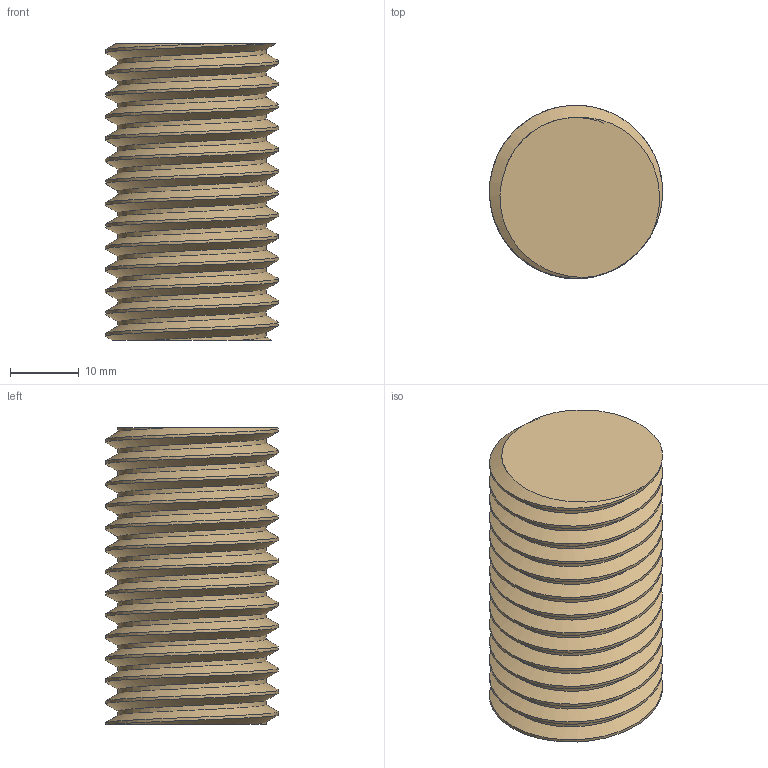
import cadquery as cq
import math

MAJOR_DIAMETER = 25.21
MINOR_DIAMETER = 21.62
LENGTH = 43.18
PITCH = 25.4 / 8
FLANK_ANGLE = 30
CREST_WIDTH = 0.42
CREST_HEIGHT = 0.75 * PITCH

RIDGE_OVERLAP = 0.2
END_OVERRUN = 2 * PITCH

MAJOR_RADIUS = MAJOR_DIAMETER / 2
MINOR_RADIUS = MINOR_DIAMETER / 2


def make_core():
    """Round bar at the thread root, running past both ends of the part."""
    return (
        cq.Workplane("XY")
        .workplane(offset=-2 * END_OVERRUN)
        .circle(MINOR_RADIUS)
        .extrude(LENGTH + 4 * END_OVERRUN)
    )


def make_ridge():
    """Right-hand thread ridge: a trapezoid swept along a helix past both ends."""
    base_radius = MINOR_RADIUS - RIDGE_OVERLAP
    half_crest = CREST_WIDTH / 2
    flank_width = (MAJOR_RADIUS - base_radius) * math.tan(math.radians(FLANK_ANGLE))
    half_base = half_crest + flank_width

    profile = (
        cq.Workplane("XZ")
        .polyline([
            (base_radius, -half_base),
            (MAJOR_RADIUS, -half_crest),
            (MAJOR_RADIUS, half_crest),
            (base_radius, half_base),
        ])
        .close()
    )
    helix = cq.Wire.makeHelix(PITCH, LENGTH + 2 * END_OVERRUN, MINOR_RADIUS)
    ridge = profile.sweep(cq.Workplane(obj=helix), isFrenet=True)
    return ridge.translate((0, 0, CREST_HEIGHT - END_OVERRUN))


def make_length_slab():
    """Block between the two flat end faces, wider than the thread."""
    width = 2 * MAJOR_DIAMETER
    return cq.Workplane("XY").rect(width, width).extrude(LENGTH)


result = make_core().union(make_ridge()).intersect(make_length_slab())